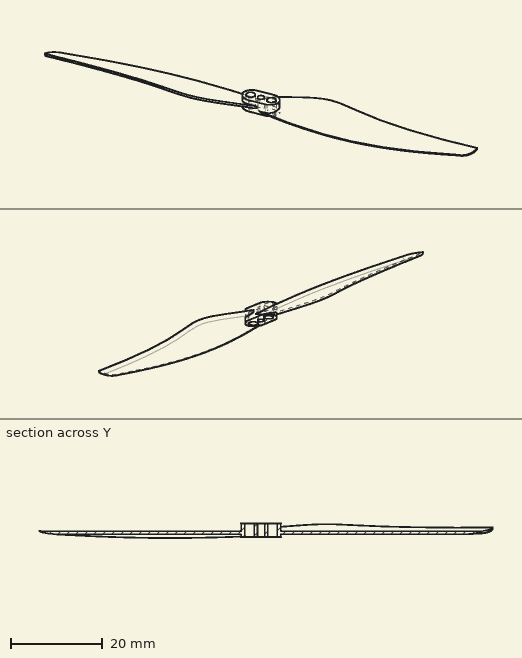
import cadquery as cq
import math

HUB_HEIGHT = 3.0
HUB_LENGTH = 8.8
HUB_WIDTH = 4.2
HUB_END_RADIUS = 2.45
SCREW_HOLE_DIAMETER = 2.0
SCREW_HOLE_SPACING = 5.0
SHAFT_HOLE_DIAMETER = 1.5

SPAN = 101.21
BLADE_PITCH = 15.0
BLADE_THICKNESS = 0.74
EDGE_ROUNDING = 0.7
BLADE_AXIS_HEIGHT = 1.36
BLADE_LENGTH = SPAN / 2

RAISED_EDGE = [
    (-0.3, 2.0),
    (7.4, 4.3),
    (14.0, 5.53),
    (22.0, 4.4),
    (32.0, 3.15),
    (41.0, 2.75),
    (BLADE_LENGTH, 2.8),
]
TIP_ARC_MIDDLE = (49.75, 0.9)
LOWERED_EDGE = [
    (47.3, -0.25),
    (38.5, -2.1),
    (29.0, -3.42),
    (19.0, -3.86),
    (9.2, -3.28),
    (0.0, -2.0),
]


def make_hub():
    """Block whose ends each taper to an upright edge through two arcs tangent to its sides."""
    half_length = HUB_LENGTH / 2
    half_width = HUB_WIDTH / 2
    arc_offset = HUB_END_RADIUS - half_width
    flat_end = half_length - math.sqrt(HUB_END_RADIUS**2 - arc_offset**2)
    return (
        cq.Workplane("XY")
        .moveTo(-flat_end, half_width)
        .lineTo(flat_end, half_width)
        .radiusArc((half_length, 0), HUB_END_RADIUS)
        .radiusArc((flat_end, -half_width), HUB_END_RADIUS)
        .lineTo(-flat_end, -half_width)
        .radiusArc((-half_length, 0), HUB_END_RADIUS)
        .radiusArc((-flat_end, half_width), HUB_END_RADIUS)
        .close()
        .extrude(HUB_HEIGHT)
    )


def on_pitched_plane(point):
    """Stretch a plan point so that it lands on the same plan position once pitched."""
    x, y = point
    return (x, y / math.cos(math.radians(BLADE_PITCH)))


def make_blade():
    """Right-hand blade, its top face crossing the hub axis at BLADE_AXIS_HEIGHT."""
    raised = [on_pitched_plane(p) for p in RAISED_EDGE]
    lowered = [on_pitched_plane(p) for p in LOWERED_EDGE]
    blade = (
        cq.Workplane("XY")
        .moveTo(*raised[0])
        .spline(raised[1:], includeCurrent=True)
        .threePointArc(on_pitched_plane(TIP_ARC_MIDDLE), lowered[0])
        .spline(lowered[1:], includeCurrent=True)
        .close()
        .extrude(-BLADE_THICKNESS)
        .faces("<Z")
        .edges("not <X")
        .fillet(EDGE_ROUNDING)
    )
    return blade.rotate((0, 0, 0), (1, 0, 0), BLADE_PITCH).translate((0, 0, BLADE_AXIS_HEIGHT))


def drill(body, x, diameter):
    """Vertical through hole on the X axis."""
    tool = cq.Workplane("XY").center(x, 0).circle(diameter / 2).extrude(HUB_HEIGHT)
    return body.cut(tool)


result = make_hub()
for turn in (0, 180):
    result = result.union(make_blade().rotate((0, 0, 0), (0, 0, 1), turn))
for side in (-1, 1):
    result = drill(result, side * SCREW_HOLE_SPACING / 2, SCREW_HOLE_DIAMETER)
result = drill(result, 0, SHAFT_HOLE_DIAMETER)